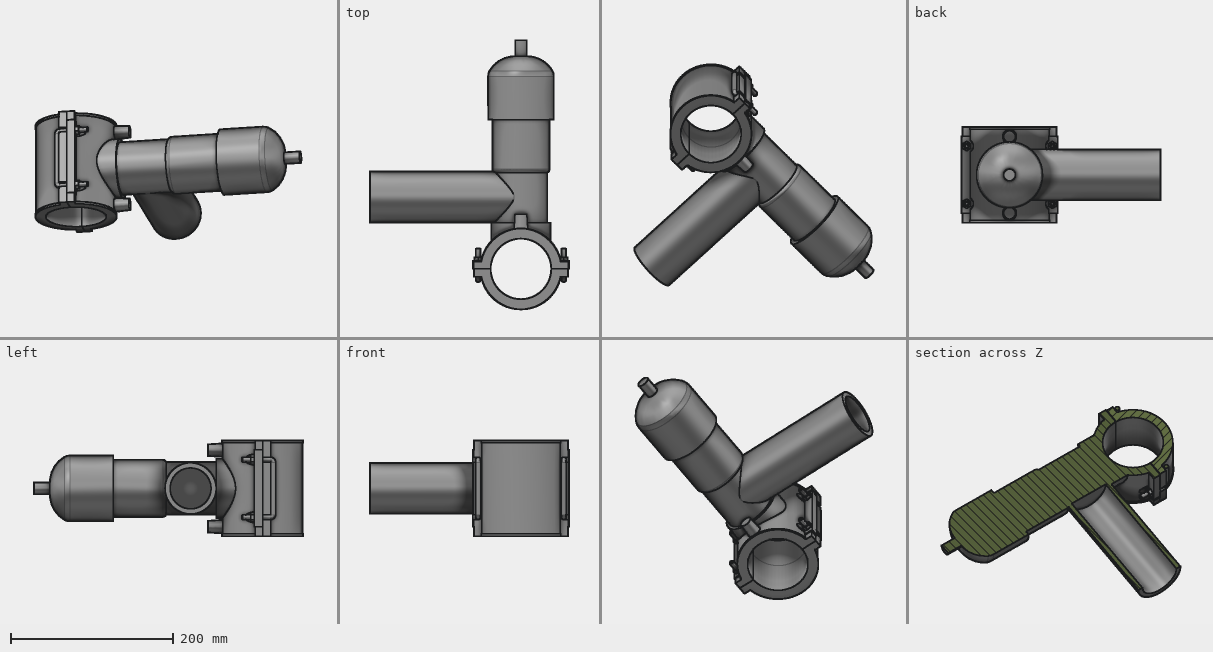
import cadquery as cq
import math


overall_width = 245.5
overall_length = 331.7

clamp_height = 118.0
bore_diameter = 74.3
shell_radius = 49.5
lip_radius = 50.0
lip_height = 3.0
flange_half_width = 58.0
front_flange_thickness = 10.0
back_flange_thickness = 9.0

plate_half_width = 59.5
plate_height = 95.0
plate_thickness = 10.0
plate_inner_x = 43.0

rod_diameter = 6.0
rod_radius = rod_diameter / 2
bolt_x = 52.7
leg_z = 35.5
rod_end_y = 25.5
rod_tip_chamfer = 1.0
bend_radius = 3.3
bridge_y = -front_flange_thickness - bend_radius
nut_across_flats = 10.0
nut_height = 4.3
spotface_diameter = 16.3

saddle_diameter = 73.3
saddle_end_y = 57.0
neck_diameter = 65.5
side_pipe_diameter = 63.0
side_pipe_bore = 50.5
side_pipe_y = saddle_end_y + side_pipe_diameter / 2
side_pipe_end_x = plate_half_width - overall_width
sleeve_diameter = 70.5
sleeve_start_y = 118.0
sleeve_fillet = 5.0
cap_diameter = 81.3
cap_start_y = 183.8
dome_top_y = 262.0
dome_radius = 36.5
cap_fillet = 13.3
spigot_diameter = 14.5
spigot_end_y = overall_length - lip_radius

terminal_z = 47.0
terminal_tip_diameter = 14.5
terminal_base_diameter = 17.2
terminal_base_y = 46.5
terminal_tip_y = 67.5


def rod_along_y(diameter, y_start, y_end, x=0.0, z=0.0):
    """Cylinder parallel to Y."""
    start = cq.Vector(x, y_start, z)
    return cq.Workplane(cq.Solid.makeCylinder(diameter / 2, y_end - y_start, start, cq.Vector(0, 1, 0)))


def box_between(x_range, y_range, z_range):
    """Box from its limits along each axis."""
    size = [high - low for low, high in (x_range, y_range, z_range)]
    corner = cq.Vector(x_range[0], y_range[0], z_range[0])
    return cq.Workplane(cq.Solid.makeBox(*size, corner))


def upright_cylinder(diameter):
    """Cylinder on the clamp axis, as tall as the clamp."""
    return cq.Workplane("XY").circle(diameter / 2).extrude(clamp_height / 2, both=True)


def clamp_half(side, flange_thickness):
    """Half shell with end lips and two flanges; side is +1 for rear and -1 for front."""
    half_height = clamp_height / 2
    shell = upright_cylinder(2 * shell_radius)
    for end in (-1, 1):
        lip = (
            cq.Workplane("XY", origin=(0, 0, end * half_height))
            .circle(lip_radius)
            .extrude(-end * lip_height)
        )
        shell = shell.union(lip)
    y_flange = sorted((0, side * flange_thickness))
    flanges = box_between((-flange_half_width, flange_half_width), y_flange, (-half_height, half_height))
    y_keep = sorted((0, side * lip_radius))
    keep = box_between((-flange_half_width, flange_half_width), y_keep, (-half_height, half_height))
    return shell.union(flanges).intersect(keep)


def front_clamp():
    """Front half with side-open flange slots around the U-bolt legs."""
    half = clamp_half(-1, front_flange_thickness).cut(upright_cylinder(bore_diameter))
    for side in (-1, 1):
        for z in (-leg_z, leg_z):
            x_range = sorted((side * bolt_x, side * plate_half_width))
            opening = box_between(x_range, (-front_flange_thickness, 0), (z - rod_radius, z + rod_radius))
            end = rod_along_y(rod_diameter, bridge_y - rod_radius, 0, side * bolt_x, z)
            half = half.cut(opening).cut(end)
    return half


def u_bolt(x):
    """U-shaped rod: two legs along Y joined by a vertical bridge through tight bends."""
    bridge_half = leg_z - bend_radius
    leg_start_y = bridge_y + bend_radius
    bend_offset = bend_radius * math.sin(math.pi / 4)
    bend_mid_y = leg_start_y - bend_offset
    bend_mid_z = bridge_half + bend_offset
    path = (
        cq.Workplane("YZ", origin=(x, 0, 0))
        .moveTo(rod_end_y, -leg_z)
        .lineTo(leg_start_y, -leg_z)
        .threePointArc((bend_mid_y, -bend_mid_z), (bridge_y, -bridge_half))
        .lineTo(bridge_y, bridge_half)
        .threePointArc((bend_mid_y, bend_mid_z), (leg_start_y, leg_z))
        .lineTo(rod_end_y, leg_z)
    )
    rod = cq.Workplane("XZ", origin=(x, rod_end_y, -leg_z)).circle(rod_radius).sweep(path)
    return rod.faces(">Y").chamfer(rod_tip_chamfer)


def nut(x, z):
    """Hexagonal nut with two flats facing along X."""
    half_corner_angle = math.pi / 6
    across_corners = nut_across_flats / math.cos(half_corner_angle)
    return (
        cq.Workplane("XZ", origin=(x, plate_thickness, z))
        .transformed(rotate=(0, 0, math.degrees(half_corner_angle)))
        .polygon(6, across_corners)
        .extrude(-nut_height)
    )


def cap():
    """Cylindrical cap with a domed end and a spigot at its centre."""
    cap_radius = cap_diameter / 2
    spigot_radius = spigot_diameter / 2
    dome_centre_y = dome_top_y - dome_radius

    def dome_point(angle):
        return (spigot_radius + dome_radius * math.sin(angle), dome_centre_y + dome_radius * math.cos(angle))

    rim_angle = math.asin((cap_radius - spigot_radius) / dome_radius)
    body = (
        cq.Workplane("XY")
        .moveTo(0, cap_start_y)
        .lineTo(cap_radius, cap_start_y)
        .lineTo(*dome_point(rim_angle))
        .threePointArc(dome_point(rim_angle / 2), dome_point(0))
        .lineTo(0, dome_top_y)
        .close()
        .revolve(360, (0, 0, 0), (0, 1, 0))
    )
    rim_centre = (0, dome_point(rim_angle)[1], 0)
    body = body.edges(cq.selectors.NearestToPointSelector(rim_centre)).fillet(cap_fillet)
    return body.union(rod_along_y(spigot_diameter, cap_start_y, spigot_end_y))


def terminal(z):
    """Tapered terminal rising from the rear shell."""
    return cq.Workplane(
        cq.Solid.makeCone(
            terminal_base_diameter / 2,
            terminal_tip_diameter / 2,
            terminal_tip_y - terminal_base_y,
            cq.Vector(0, terminal_base_y, z),
            cq.Vector(0, 1, 0),
        )
    )


def side_pipe_cylinder(diameter, x_end):
    """Cylinder on the side pipe axis, from the open pipe end to x_end."""
    return (
        cq.Workplane("YZ", origin=(side_pipe_end_x, side_pipe_y, 0))
        .circle(diameter / 2)
        .extrude(x_end - side_pipe_end_x)
    )


def branch():
    """Saddle, neck, sleeve, cap, side pipe and terminals."""
    sleeve = rod_along_y(sleeve_diameter, sleeve_start_y, cap_start_y)
    sleeve = sleeve.faces("<Y").edges().fillet(sleeve_fillet)
    side_pipe = side_pipe_cylinder(side_pipe_diameter, 0)
    side_bore = side_pipe_cylinder(side_pipe_bore, -neck_diameter / 2)
    body = (
        rod_along_y(saddle_diameter, 0, saddle_end_y)
        .union(rod_along_y(neck_diameter, 0, cap_start_y))
        .union(sleeve)
        .union(cap())
        .union(side_pipe)
        .cut(side_bore)
    )
    for z in (-terminal_z, terminal_z):
        body = body.union(terminal(z))
    return body


def rear_body():
    """Rear clamp half carrying the branch, backing plates, U-bolts and nuts."""
    body = clamp_half(1, back_flange_thickness)
    for side in (-1, 1):
        x_range = sorted((side * plate_inner_x, side * plate_half_width))
        z_range = (-plate_height / 2, plate_height / 2)
        body = body.union(box_between(x_range, (0, plate_thickness), z_range))
        for z in (-leg_z, leg_z):
            body = body.cut(rod_along_y(spotface_diameter, plate_thickness, rod_end_y, side * bolt_x, z))
            body = body.union(nut(side * bolt_x, z))
        body = body.union(u_bolt(side * bolt_x))
    return body.union(branch()).cut(upright_cylinder(bore_diameter))


front_half = front_clamp()
rear_half = rear_body()
result = cq.Compound.makeCompound([front_half.val(), rear_half.val()])